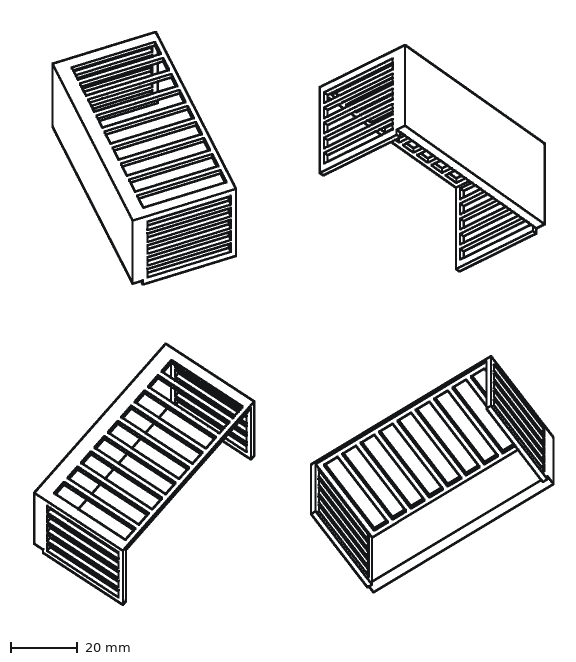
import cadquery as cq

length = 65.0
depth = 33.2
height = 31.8

wall = 1.7
front_wall = 3.25
front_gap = 1.9

bar = 1.7
slot_length = 26.7
slot_back_margin = 1.7
slot_center_y = depth - slot_back_margin - slot_length / 2

top_slot_count = 9
top_slot_width = 4.95

end_slot_count = 5
end_slot_height = 3.9


def slot_centers(count, width, middle):
    """Centers of equal slots separated by bars, spread evenly about middle."""
    pitch = width + bar
    return [middle + (i - (count - 1) / 2) * pitch for i in range(count)]


def make_shell():
    """Cover with a front, a top and two ends, open at the back and bottom."""
    block = cq.Workplane("XY").box(length, depth, height, centered=False)
    cavity = (
        cq.Workplane("XY")
        .box(length - 2 * wall, depth - front_wall, height - wall, centered=False)
        .translate((wall, front_wall, 0))
    )
    lower_gap = cq.Workplane("XY").box(length, front_wall, front_gap, centered=False)
    return block.cut(cavity).cut(lower_gap)


def cut_top_slots(body):
    centers = slot_centers(top_slot_count, top_slot_width, length / 2)
    slots = (
        cq.Workplane("XY")
        .pushPoints([(x, slot_center_y) for x in centers])
        .rect(top_slot_width, slot_length)
        .extrude(height)
        .translate((0, 0, height - wall))
    )
    return body.cut(slots)


def cut_end_slots(body):
    centers = slot_centers(end_slot_count, end_slot_height, height / 2)
    slots = (
        cq.Workplane("YZ")
        .pushPoints([(slot_center_y, z) for z in centers])
        .rect(slot_length, end_slot_height)
        .extrude(length)
    )
    return body.cut(slots)


result = cut_end_slots(cut_top_slots(make_shell()))